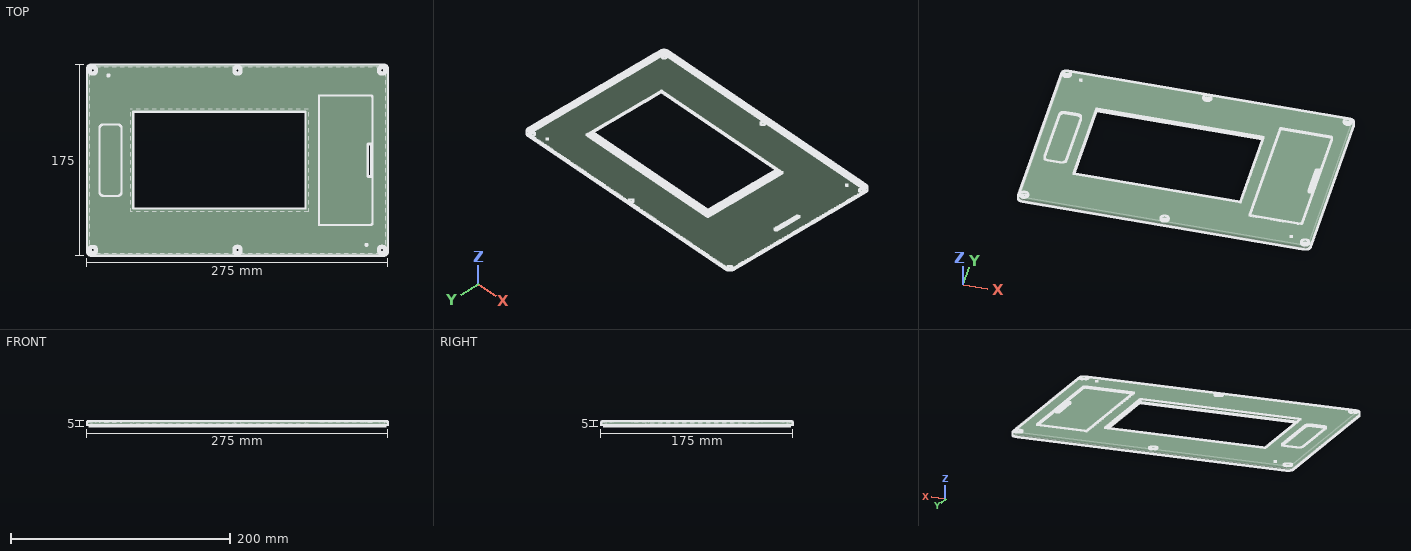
import cadquery as cq

length = 275.0
width = 175.0
thickness = 5.0
corner_radius = 5.0
top_edge_radius = 2.0
step_inset = 2.5
step_height = 1.0

window_left = -95.0
window_right = 62.0
window_width = 88.0
window_wall_height = 3.0
rebate_margin = 2.8

panel_left = 74.2
panel_right = 123.2
panel_width = 118.2
panel_depth = 1.0
panel_corner_radius = 2.0
slot_x = 120.5
slot_width = 2.8
slot_length = 29.7
slot_chamfer = 0.5

label_left = -126.0
label_right = -105.5
label_width = 65.5
label_depth = 1.5
label_corner_radius = 4.0

screw_edge_distance = 5.5
screw_hole_diameter = 4.0
countersink_diameter = 7.7
countersink_angle = 90

pin_x = 117.7
pin_y = 77.3
pin_diameter = 1.5


def rounded_block(size_x, size_y, height, radius, base_z):
    """Block centred on the Z axis with rounded vertical edges."""
    block = cq.Workplane("XY").workplane(offset=base_z).rect(size_x, size_y).extrude(height)
    return block.edges("|Z").fillet(radius)


def cutter(left, right, size_y, depth):
    """Box between two X positions, centred on Y, reaching down from the top face."""
    size_x = right - left
    top = cq.Workplane("XY").workplane(offset=thickness)
    return top.center((left + right) / 2, 0).rect(size_x, size_y).extrude(-depth)


def plate():
    flange = rounded_block(length, width, thickness - step_height, corner_radius, step_height)
    flange = flange.faces(">Z").edges().fillet(top_edge_radius)
    step = rounded_block(
        length - 2 * step_inset,
        width - 2 * step_inset,
        step_height,
        corner_radius - step_inset,
        0,
    )
    return flange.union(step)


def window_cutter():
    """Display opening with the wider rebate below it."""
    opening = cutter(window_left, window_right, window_width, thickness)
    rebate_length = window_right - window_left + 2 * rebate_margin
    rebate = (
        cq.Workplane("XY")
        .center((window_left + window_right) / 2, 0)
        .rect(rebate_length, window_width + 2 * rebate_margin)
        .extrude(thickness - window_wall_height)
    )
    return opening.union(rebate)


def finger_slot_cutter():
    """Slot along Y through the panel recess floor, with its rim chamfered at 45 degrees."""
    floor_z = thickness - panel_depth
    slot = cq.Workplane("XY").center(slot_x, 0).slot2D(slot_length, slot_width, 90).extrude(floor_z)
    rim = (
        cq.Workplane("XY")
        .workplane(offset=floor_z)
        .center(slot_x, 0)
        .slot2D(slot_length + 2 * slot_chamfer, slot_width + 2 * slot_chamfer, 90)
        .extrude(-slot_chamfer, taper=45)
    )
    return slot.union(rim)


panel_recess = cutter(panel_left, panel_right, panel_width, panel_depth)
panel_recess = panel_recess.edges("|Z and >X").fillet(panel_corner_radius)

label_recess = cutter(label_left, label_right, label_width, label_depth)
label_recess = label_recess.edges("|Z").fillet(label_corner_radius)

screw_x = length / 2 - screw_edge_distance
screw_y = width / 2 - screw_edge_distance
screw_points = [(x, y) for x in (-screw_x, 0, screw_x) for y in (-screw_y, screw_y)]
pin_points = [(-pin_x, pin_y), (pin_x, -pin_y)]

result = plate()
for recess in (window_cutter(), panel_recess, finger_slot_cutter(), label_recess):
    result = result.cut(recess)

top_plane = cq.Workplane("XY").workplane(offset=thickness)
result = (
    result.copyWorkplane(top_plane)
    .pushPoints(screw_points)
    .cskHole(screw_hole_diameter, countersink_diameter, countersink_angle)
)
result = result.copyWorkplane(top_plane).pushPoints(pin_points).hole(pin_diameter)